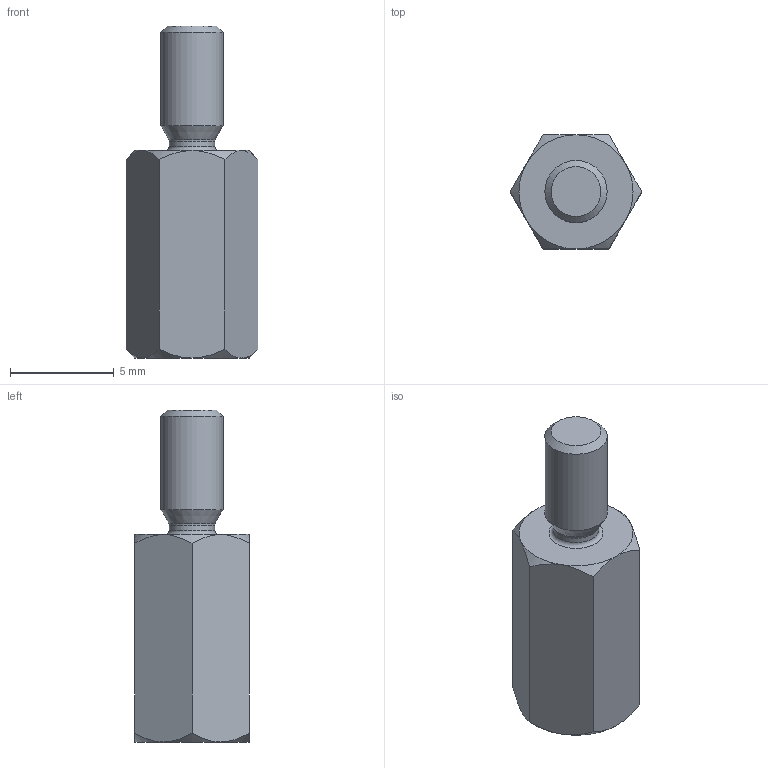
import cadquery as cq
import math

across_flats = 5.5
across_corners = across_flats / math.cos(math.pi / 6)
body_length = 10.0

total_length = 16.0
stud_radius = 3.0 / 2
stud_tip_radius = 2.4 / 2
tip_chamfer = stud_radius - stud_tip_radius

neck_radius = 2.2 / 2
neck_fillet = 0.2
undercut_length = 1.2
runout_angle = math.radians(30)
runout_length = (stud_radius - neck_radius) / math.tan(runout_angle)


def make_body():
    """Hexagon with corners on the X axis, both ends turned to a 45 degree cone."""
    hexagon = cq.Workplane("XY").polygon(6, across_corners).extrude(body_length)
    corner_chamfer = (across_corners - across_flats) / 2
    turned_envelope = (
        cq.Workplane("XY")
        .circle(across_corners / 2)
        .extrude(body_length)
        .edges("%CIRCLE")
        .chamfer(corner_chamfer)
    )
    return hexagon.intersect(turned_envelope)


def make_stud():
    """Turned stud: filleted neck, conical run-out, plain shank and chamfered tip."""
    undercut_top = body_length + undercut_length
    cone_bottom = undercut_top - runout_length

    tangent_length = neck_fillet * math.tan(runout_angle / 2)
    arc_start = cone_bottom - tangent_length
    arc_center_radius = neck_radius + neck_fillet

    def upper_fillet_point(angle):
        return (
            arc_center_radius - neck_fillet * math.cos(angle),
            arc_start + neck_fillet * math.sin(angle),
        )

    lower_fillet_middle = (
        arc_center_radius - neck_fillet * math.cos(math.pi / 4),
        body_length + neck_fillet * (1 - math.sin(math.pi / 4)),
    )

    profile = (
        cq.Workplane("XZ")
        .moveTo(0, body_length)
        .lineTo(arc_center_radius, body_length)
        .threePointArc(lower_fillet_middle, (neck_radius, body_length + neck_fillet))
        .lineTo(neck_radius, arc_start)
        .threePointArc(upper_fillet_point(runout_angle / 2), upper_fillet_point(runout_angle))
        .lineTo(stud_radius, undercut_top)
        .lineTo(stud_radius, total_length - tip_chamfer)
        .lineTo(stud_tip_radius, total_length)
        .lineTo(0, total_length)
        .close()
    )
    return profile.revolve(360, (0, 0, 0), (0, 1, 0))


result = make_body().union(make_stud())